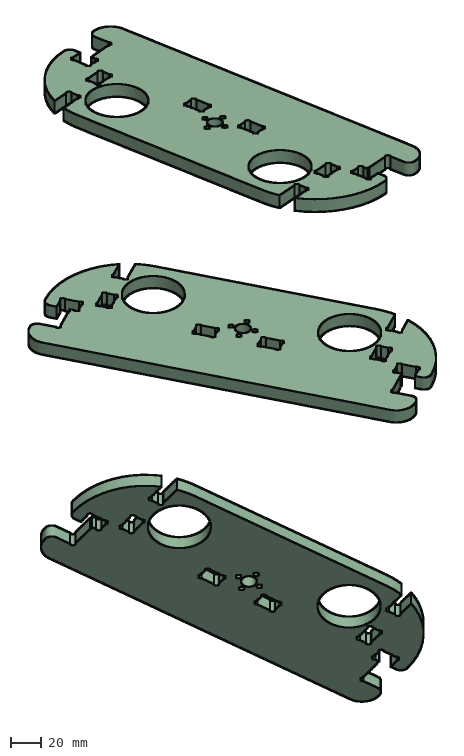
import cadquery as cq
import math

length = 271.0
depth = 106.0
thickness = 10.0
half_length = length / 2

back_corner_radius = 13.5
front_corner_radius = 58.0
lip_radius = 5.1

slot_width = thickness
slot_length = 15.0
relief_diameter = 3.5

notch_inner_x = 116.5
notch_front_y = 64.2
notch_back_y = 86.2

end_slot_x = 118.2
side_slot_x = 96.2
middle_slot_x = 22.8
cross_slot_y = notch_front_y - slot_width / 2
side_slot_y = cross_slot_y - slot_width / 2 - slot_length / 2
open_slot_depth = 20.0

large_hole_diameter = 42.0
large_hole_x = 68.8
large_hole_y = 31.0
shaft_hole_diameter = 10.5
screw_hole_diameter = 3.5
screw_circle_radius = 8.5
screw_count = 4
shaft_hole_y = 48.8


def cylinder(x, y, diameter):
    return cq.Workplane("XY").center(x, y).circle(diameter / 2).extrude(thickness)


def pocket(x, y, size_x, size_y, relieved_corners):
    """Rectangular cutter whose listed corners get a round relief passing through the corner."""
    cutter = cq.Workplane("XY").center(x, y).rect(size_x, size_y).extrude(thickness)
    inset = relief_diameter / 2 * math.sqrt(0.5)
    for sign_x, sign_y in relieved_corners:
        relief_x = x + sign_x * (size_x / 2 - inset)
        relief_y = y + sign_y * (size_y / 2 - inset)
        cutter = cutter.union(cylinder(relief_x, relief_y, relief_diameter))
    return cutter


def plate_blank():
    blank = cq.Workplane("XY").rect(length, depth).extrude(thickness)
    blank = blank.translate((0, depth / 2, 0))
    blank = blank.edges("|Z and >Y").fillet(back_corner_radius)
    return blank.edges("|Z and <Y").fillet(front_corner_radius)


def end_notch(side):
    """Notch open at one end, with its two lips rounded where they meet the outline."""
    size_x = half_length - notch_inner_x
    size_y = notch_back_y - notch_front_y
    center_x = side * (notch_inner_x + size_x / 2)
    center_y = notch_front_y + size_y / 2
    cutter = pocket(center_x, center_y, size_x, size_y, [(-side, -1), (-side, 1)])
    for lip_y, direction in ((notch_front_y, -1), (notch_back_y, 1)):
        end_x = side * half_length
        round_x = end_x - side * lip_radius
        arc_x = round_x + side * lip_radius * math.sqrt(0.5)
        arc_y = lip_y + direction * lip_radius * (1 - math.sqrt(0.5))
        corner = (
            cq.Workplane("XY")
            .moveTo(end_x, lip_y)
            .lineTo(round_x, lip_y)
            .threePointArc((arc_x, arc_y), (end_x, lip_y + direction * lip_radius))
            .close()
            .extrude(thickness)
        )
        cutter = cutter.union(corner)
    return cutter


all_corners = [(-1, -1), (1, -1), (1, 1), (-1, 1)]
back_corners = [(-1, 1), (1, 1)]

result = plate_blank()

for side in (-1, 1):
    end_slot_corners = [corner for corner in all_corners if corner != (side, 1)]
    result = result.cut(end_notch(side))
    result = result.cut(pocket(side * end_slot_x, cross_slot_y, slot_length, slot_width, end_slot_corners))
    result = result.cut(pocket(side * middle_slot_x, cross_slot_y, slot_length, slot_width, all_corners))
    result = result.cut(pocket(side * side_slot_x, side_slot_y, slot_width, slot_length, all_corners))
    result = result.cut(
        pocket(side * side_slot_x, open_slot_depth / 2, slot_width, open_slot_depth, back_corners)
    )
    result = result.cut(cylinder(side * large_hole_x, large_hole_y, large_hole_diameter))

result = result.cut(cylinder(0, shaft_hole_y, shaft_hole_diameter))
for index in range(screw_count):
    angle = 2 * math.pi * index / screw_count
    screw_x = screw_circle_radius * math.cos(angle)
    screw_y = shaft_hole_y + screw_circle_radius * math.sin(angle)
    result = result.cut(cylinder(screw_x, screw_y, screw_hole_diameter))